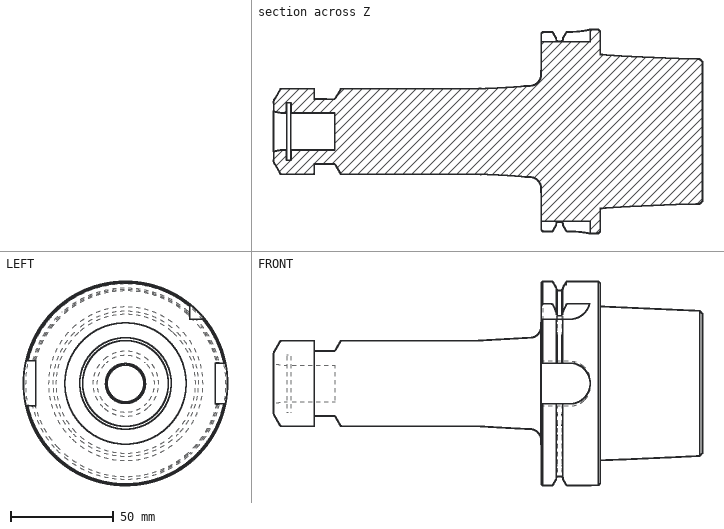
import cadquery as cq
import math


flange_diameter = 100.0
flange_width = 29.0
flange_front_chamfer = 0.8
flange_back_chamfer = 1.0
flange_front = -flange_width

groove_center = -20.0
groove_mouth_width = 6.8
groove_slot_width = 3.2
groove_depth = 4.4
groove_half_angle = 30.0
groove_rim_fillet = 0.8
groove_floor_fillet = 0.6

taper_length = 50.0
taper_large_diameter = 75.5
taper_small_diameter = 71.2
taper_end_chamfer = 1.5

nose_length = 131.0
nose_front = flange_front - nose_length
nose_diameter = 42.0
bevel_half_angle = 60.0
tip_face_diameter = 30.0
tip_face_fillet = 3.0
collar_length = 20.0
neck_diameter = 32.0
shoulder_bevel_offset = 30.1
bevel_rim_fillet = 0.7
cylinder_end = 99.8
root_diameter = 44.8
root_fillet_radius = 5.4
root_cone_end = 124.6
pad_diameter = 59.4
pad_height = 0.1

bore_mouth_diameter = 19.6
bore_diameter = 18.0
bore_mouth_cone_length = 4.0
undercut_start = 6.5
undercut_width = 2.1
undercut_diameter = 28.0
bore_depth = 30.0

slot_length = 24.0
slot_end_radius = 10.0
slot_floor = 44.0
front_slot_width = 20.0
back_slot_width = 22.0
notch_offset = 31.4


def fillet_ring(body, ring_x, radius):
    """Fillet the circular edge centred on the X axis at ring_x."""
    reach = 0.01
    near_center = cq.selectors.BoxSelector(
        (ring_x - reach, -reach, -reach),
        (ring_x + reach, reach, reach),
    )
    return body.edges(near_center).fillet(radius)


def turned_body():
    """Nose, flange and taper as one revolved outline."""
    flange_radius = flange_diameter / 2
    nose_radius = nose_diameter / 2
    root_radius = root_diameter / 2
    tip_radius = tip_face_diameter / 2
    neck_radius = neck_diameter / 2
    bevel_run_per_rise = 1 / math.tan(math.radians(bevel_half_angle))
    tip_bevel_end = nose_front + (nose_radius - tip_radius) * bevel_run_per_rise
    shoulder_bevel_start = nose_front + shoulder_bevel_offset
    shoulder_bevel_end = shoulder_bevel_start + (nose_radius - neck_radius) * bevel_run_per_rise
    taper_end_radius = taper_small_diameter / 2
    pad_front = flange_front - pad_height
    fillet_start = pad_front - root_fillet_radius
    fillet_mid_x = fillet_start + root_fillet_radius * math.sin(math.pi / 4)
    fillet_mid_r = root_radius + root_fillet_radius * (1 - math.cos(math.pi / 4))
    outline = (
        cq.Workplane("XZ")
        .moveTo(nose_front, 0)
        .lineTo(nose_front, tip_radius)
        .lineTo(tip_bevel_end, nose_radius)
        .lineTo(nose_front + collar_length, nose_radius)
        .lineTo(nose_front + collar_length, neck_radius)
        .lineTo(shoulder_bevel_start, neck_radius)
        .lineTo(shoulder_bevel_end, nose_radius)
        .lineTo(nose_front + cylinder_end, nose_radius)
        .lineTo(nose_front + root_cone_end, root_radius)
        .lineTo(fillet_start, root_radius)
        .threePointArc((fillet_mid_x, fillet_mid_r), (pad_front, root_radius + root_fillet_radius))
        .lineTo(pad_front, pad_diameter / 2)
        .lineTo(flange_front, pad_diameter / 2)
        .lineTo(flange_front, flange_radius - flange_front_chamfer)
        .lineTo(flange_front + flange_front_chamfer, flange_radius)
        .lineTo(-flange_back_chamfer, flange_radius)
        .lineTo(0, flange_radius - flange_back_chamfer)
        .lineTo(0, taper_large_diameter / 2)
        .lineTo(taper_length - taper_end_chamfer, taper_end_radius)
        .lineTo(taper_length, taper_end_radius - taper_end_chamfer)
        .lineTo(taper_length, 0)
        .close()
    )
    body = outline.revolve(360, (0, 0, 0), (1, 0, 0))
    body = fillet_ring(body, nose_front, tip_face_fillet)
    for ring_x in (tip_bevel_end, shoulder_bevel_start, shoulder_bevel_end):
        body = fillet_ring(body, ring_x, bevel_rim_fillet)
    return body


def cut_gripper_groove(body):
    """Cut the groove, with rounded rims and floor corners."""
    rim_radius = flange_diameter / 2
    floor_radius = rim_radius - groove_depth
    half_mouth = groove_mouth_width / 2
    half_slot = groove_slot_width / 2
    slot_radius = rim_radius - (half_mouth - half_slot) / math.tan(math.radians(groove_half_angle))
    cutter = (
        cq.Workplane("XZ")
        .moveTo(groove_center - half_mouth, rim_radius)
        .lineTo(groove_center - half_slot, slot_radius)
        .lineTo(groove_center - half_slot, floor_radius)
        .lineTo(groove_center + half_slot, floor_radius)
        .lineTo(groove_center + half_slot, slot_radius)
        .lineTo(groove_center + half_mouth, rim_radius)
        .close()
        .revolve(360, (0, 0, 0), (1, 0, 0))
    )
    floor_corners = cutter.edges(cq.selectors.RadiusNthSelector(0))
    grooved = body.cut(floor_corners.fillet(groove_floor_fillet))
    for rim_x in (groove_center - half_mouth, groove_center + half_mouth):
        grooved = fillet_ring(grooved, rim_x, groove_rim_fillet)
    return grooved


def slot_cutter(width, floor_y, center_z, side):
    """Round-ended slot open at the flange front, reaching outward from side * floor_y."""
    depth = flange_diameter / 2
    arc_start = slot_length - slot_end_radius
    center_y = side * (floor_y + depth / 2)
    cutter = cq.Workplane("XY").box(arc_start, depth, width, centered=(False, True, True))
    flat_end_width = width - 2 * slot_end_radius
    if flat_end_width > 0:
        cutter = cutter.union(
            cq.Workplane("XY").box(slot_length, depth, flat_end_width, centered=(False, True, True))
        )
    for corner_z in (-flat_end_width / 2, flat_end_width / 2):
        round_end = cq.Workplane("XZ").circle(slot_end_radius).extrude(depth / 2, both=True)
        cutter = cutter.union(round_end.translate((arc_start, 0, corner_z)))
    return cutter.translate((flange_front, center_y, center_z))


def cut_slots(body):
    """Two drive slots on opposite sides and the off-centre orientation notch."""
    notch_center = notch_offset + slot_end_radius
    body = body.cut(slot_cutter(front_slot_width, slot_floor, 0, -1))
    body = body.cut(slot_cutter(back_slot_width, slot_floor, 0, 1))
    return body.cut(slot_cutter(front_slot_width, notch_offset, notch_center, -1))


def cut_bore(body):
    """Tapered mouth and blind bore with a ring-shaped undercut."""
    undercut_front = nose_front + undercut_start
    undercut_back = undercut_front + undercut_width
    bore_radius = bore_diameter / 2
    undercut_radius = undercut_diameter / 2
    bore_end = nose_front + bore_depth
    cutter = (
        cq.Workplane("XZ")
        .moveTo(nose_front, 0)
        .lineTo(nose_front, bore_mouth_diameter / 2)
        .lineTo(nose_front + bore_mouth_cone_length, bore_radius)
        .lineTo(undercut_front, bore_radius)
        .lineTo(undercut_front, undercut_radius)
        .lineTo(undercut_back, undercut_radius)
        .lineTo(undercut_back, bore_radius)
        .lineTo(bore_end, bore_radius)
        .lineTo(bore_end, 0)
        .close()
        .revolve(360, (0, 0, 0), (1, 0, 0))
    )
    return body.cut(cutter)


result = cut_bore(cut_slots(cut_gripper_groove(turned_body())))